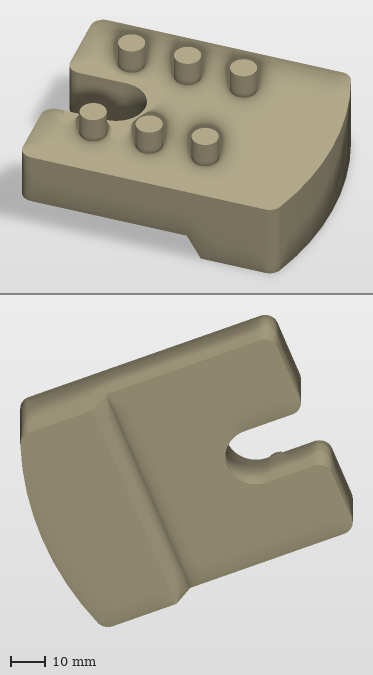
import cadquery as cq
import math

length = 86.0
width = 68.0
plate_thickness = 16.5
foot_depth = 7.5
corner_radius = 4.0
end_radius = 95.5

slot_width = 18.0
slot_depth = 28.0
slot_center_y = -1.0

foot_start = 52.6
foot_lean = 30.0

pin_diameter = 8.0
pin_height = 8.0
first_pin_x = 17.4
pin_pitch = 17.5
pins_per_row = 3
pin_row_spacing = 34.0

plate_bottom = foot_depth
plate_top = foot_depth + plate_thickness


def make_body():
    """Stepped side profile, trimmed to the plan with its bowed right end."""
    foot_toe = foot_start + foot_depth * math.tan(math.radians(foot_lean))
    profile = (
        cq.Workplane("XZ")
        .moveTo(0, plate_top)
        .lineTo(0, plate_bottom)
        .lineTo(foot_start, plate_bottom)
        .lineTo(foot_toe, 0)
        .lineTo(length, 0)
        .lineTo(length, plate_top)
        .close()
        .extrude(width / 2, both=True)
    )
    half_width = width / 2
    bow_rise = end_radius - math.sqrt(end_radius**2 - half_width**2)
    arc_end_x = length - bow_rise
    plan = (
        cq.Workplane("XY")
        .moveTo(0, -half_width)
        .lineTo(arc_end_x, -half_width)
        .threePointArc((length, 0), (arc_end_x, half_width))
        .lineTo(0, half_width)
        .close()
        .extrude(plate_top)
        .edges("|Z")
        .fillet(corner_radius)
    )
    return profile.intersect(plan)


def cut_slot(body):
    """Round-ended slot with rounded corners at its mouth."""
    slot_radius = slot_width / 2
    straight_depth = slot_depth - slot_radius
    slot = (
        cq.Workplane("XY", origin=(0, slot_center_y, 0))
        .moveTo(0, -slot_radius)
        .lineTo(straight_depth, -slot_radius)
        .threePointArc((slot_depth, 0), (straight_depth, slot_radius))
        .lineTo(0, slot_radius)
        .close()
        .extrude(plate_top)
    )
    mouth_corners = cq.selectors.BoxSelector(
        (-corner_radius, slot_center_y - slot_width, 0),
        (corner_radius, slot_center_y + slot_width, plate_top),
    )
    return body.cut(slot).edges("|Z").edges(mouth_corners).fillet(corner_radius)


def make_pins():
    """Two rows of pins, one on each side of the slot."""
    positions = [
        (first_pin_x + column * pin_pitch, side * pin_row_spacing / 2)
        for column in range(pins_per_row)
        for side in (-1, 1)
    ]
    return (
        cq.Workplane("XY", origin=(0, 0, plate_top))
        .pushPoints(positions)
        .circle(pin_diameter / 2)
        .extrude(pin_height)
    )


result = cut_slot(make_body()).union(make_pins())